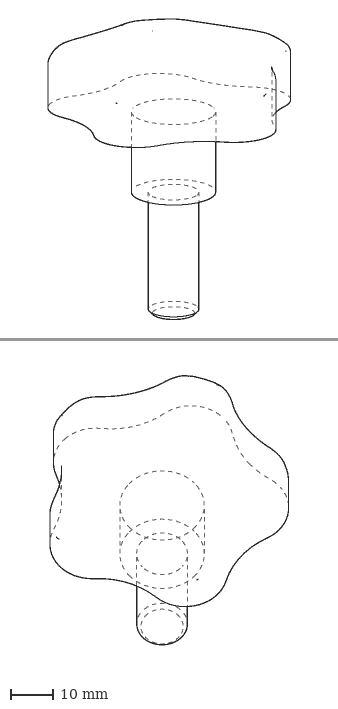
import cadquery as cq
import math

total_height = 67.5
head_height = 17.5
lobe_count = 5
lobe_offset = 20.0
lobe_radius = 10.0
valley_radius = 20.0
dome_radius = 120.15
disc_fillet = 4.0
rim_fillet = 2.5
hub_diameter = 20.0
hub_length = 20.0
stud_diameter = 12.0
stud_length = total_height - head_height - hub_length
stud_chamfer = 1.0

half_pitch = math.pi / lobe_count
lobe_half_gap = lobe_offset * math.sin(half_pitch)
centre_spacing = lobe_radius + valley_radius
valley_offset = lobe_offset * math.cos(half_pitch) + math.sqrt(centre_spacing**2 - lobe_half_gap**2)


def polar(radius, angle):
    return (radius * math.cos(angle), radius * math.sin(angle))


def tangent_point(lobe_angle, side):
    """Point where a lobe meets the valley before it (-1) or after it (+1)."""
    lobe_x, lobe_y = polar(lobe_offset, lobe_angle)
    valley_x, valley_y = polar(valley_offset, lobe_angle + side * half_pitch)
    share = lobe_radius / centre_spacing
    return (lobe_x + share * (valley_x - lobe_x), lobe_y + share * (valley_y - lobe_y))


def star_outline():
    """Rounded star with one lobe pointing along -Y."""
    first_angle = -math.pi / 2
    outline = cq.Workplane("XY").moveTo(*tangent_point(first_angle, -1))
    for index in range(lobe_count):
        angle = first_angle + 2 * half_pitch * index
        outline = outline.threePointArc(
            polar(lobe_offset + lobe_radius, angle), tangent_point(angle, 1)
        )
        outline = outline.threePointArc(
            polar(valley_offset - valley_radius, angle + half_pitch),
            tangent_point(angle + 2 * half_pitch, -1),
        )
    return outline.close()


def arc_point(radius, angle, centre):
    """Point on an arc in the profile plane, with the angle taken from the axis."""
    return (centre[0] + radius * math.sin(angle), centre[1] + radius * math.cos(angle))


def domed_disc():
    """Round blank: a spherical top blended into its side by a tangent arc."""
    dome_centre = (0, head_height - dome_radius)
    disc_radius = lobe_offset + lobe_radius
    blend_angle = math.asin((disc_radius - disc_fillet) / (dome_radius - disc_fillet))
    blend_centre = arc_point(dome_radius - disc_fillet, blend_angle, dome_centre)
    blend_middle = (blend_angle + math.pi / 2) / 2
    profile = (
        cq.Workplane("XZ")
        .lineTo(disc_radius, 0)
        .lineTo(disc_radius, blend_centre[1])
        .threePointArc(
            arc_point(disc_fillet, blend_middle, blend_centre),
            arc_point(disc_fillet, blend_angle, blend_centre),
        )
        .threePointArc(arc_point(dome_radius, blend_angle / 2, dome_centre), (0, head_height))
        .close()
    )
    disc = profile.revolve(360, (0, 0, 0), (0, 1, 0))
    return disc.rotate((0, 0, 0), (0, 0, 1), -90)


def make_head():
    """Domed disc cut to the star outline, with the upper edge of the star wall rounded."""
    head = domed_disc().intersect(star_outline().extrude(head_height))
    wall_edges = head.faces("%CYLINDER").edges("not(|Z)")
    return wall_edges.edges("not(<Z)").fillet(rim_fillet)


def make_shank():
    """Hub and chamfered stud below the head."""
    hub = cq.Workplane("XY").circle(hub_diameter / 2).extrude(-hub_length)
    stud = cq.Workplane("XY").workplane(offset=-hub_length).circle(stud_diameter / 2).extrude(-stud_length)
    return hub.union(stud.faces("<Z").chamfer(stud_chamfer))


result = make_head().union(make_shank())